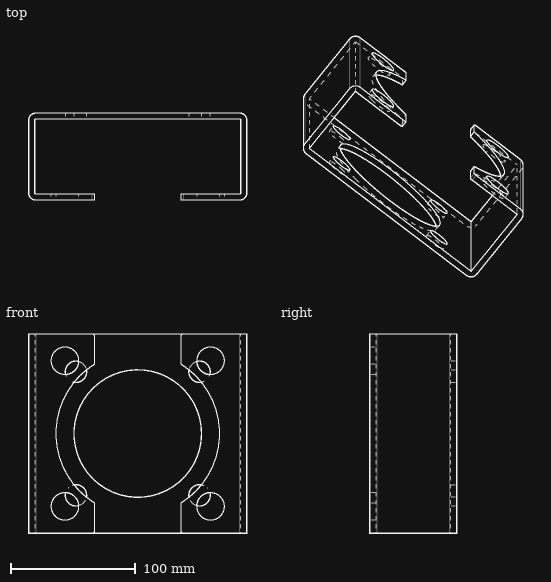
import cadquery as cq

width = 175.0
depth = 70.0
height = 160.0

sheet = 5.0
bend_radius = 6.0

flange_gap = 69.3
clearance_diameter = 131.0
flange_corner_radius = 2.0

bore_diameter = 102.0
flange_hole_diameter = 22.0
flange_hole_spacing = 116.7
back_hole_diameter = 17.0
back_hole_spacing = 99.0

front_y = -depth / 2
back_y = depth / 2


def cut_tool(sketch_y, profile):
    """Extrude a profile along +Y through one sheet thickness, starting at sketch_y."""
    plane = cq.Plane(origin=(0, sketch_y, 0), xDir=(1, 0, 0), normal=(0, -1, 0))
    return profile(cq.Workplane(plane)).extrude(-sheet)


def hole_square(spacing, diameter):
    """Four holes at the corners of a square."""
    return lambda plane: plane.rect(spacing, spacing, forConstruction=True).vertices().circle(diameter / 2)


def make_channel():
    """Rectangular tube with sharp inner corners, slit down the middle of its front."""
    tube = cq.Workplane("XY").box(width, depth, height).edges("|Z").fillet(bend_radius)
    cavity = cq.Workplane("XY").box(width - 2 * sheet, depth - 2 * sheet, height)
    slit = cut_tool(front_y, lambda plane: plane.rect(flange_gap, height))
    return tube.cut(cavity).cut(slit)


def round_flange_corners(body):
    """Round the upper and lower corners of the flange tips."""
    half_gap = flange_gap / 2
    for side in (-1, 1):
        for end in (-1, 1):
            corner = (side * half_gap, front_y + sheet / 2, end * height / 2)
            body = body.edges(cq.selectors.NearestToPointSelector(corner)).fillet(flange_corner_radius)
    return body


channel = round_flange_corners(make_channel())
clearance = cut_tool(front_y, lambda plane: plane.circle(clearance_diameter / 2))
flange_holes = cut_tool(front_y, hole_square(flange_hole_spacing, flange_hole_diameter))
back_face_y = back_y - sheet
bore = cut_tool(back_face_y, lambda plane: plane.circle(bore_diameter / 2))
back_holes = cut_tool(back_face_y, hole_square(back_hole_spacing, back_hole_diameter))

result = channel.cut(clearance).cut(flange_holes).cut(bore).cut(back_holes)